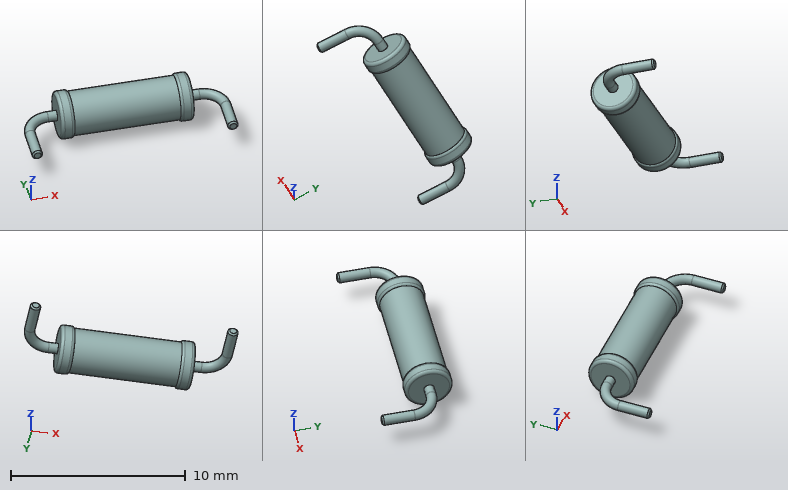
import cadquery as cq

body_length = 7.82
body_diameter = 2.6
collar_diameter = 2.8
collar_width = 0.82
collar_fillet = 0.19

overall_length = 12.1
overall_depth = 4.6
lead_diameter = 0.6
bend_radius = 1.3
tip_chamfer = 0.1

collar_radius = collar_diameter / 2
lead_axis_x = (overall_length - lead_diameter) / 2
bend_start_x = lead_axis_x - bend_radius
lead_tip_y = collar_radius - overall_depth


def make_collar():
    """Collar at the +X end, its two rims rounded alike."""
    collar = (
        cq.Workplane("YZ", origin=(body_length / 2 - collar_width, 0, 0))
        .circle(collar_radius)
        .extrude(collar_width)
    )
    return collar.edges("%CIRCLE").fillet(collar_fillet)


def make_lead():
    """Bent round wire at the +X end, rooted inside the collar."""
    root_x = body_length / 2 - collar_width / 2
    bend_mid = bend_radius * 0.5**0.5
    path = (
        cq.Workplane("XY")
        .moveTo(root_x, 0)
        .lineTo(bend_start_x, 0)
        .threePointArc(
            (bend_start_x + bend_mid, bend_mid - bend_radius),
            (lead_axis_x, -bend_radius),
        )
        .lineTo(lead_axis_x, lead_tip_y)
    )
    wire = cq.Workplane("YZ", origin=(root_x, 0, 0)).circle(lead_diameter / 2).sweep(path)
    return wire.faces("<Y").edges().chamfer(tip_chamfer)


core_length = body_length - collar_width
core = (
    cq.Workplane("YZ", origin=(-core_length / 2, 0, 0))
    .circle(body_diameter / 2)
    .extrude(core_length)
)
end_parts = make_collar().union(make_lead())
result = core.union(end_parts).union(end_parts.mirror("YZ"))